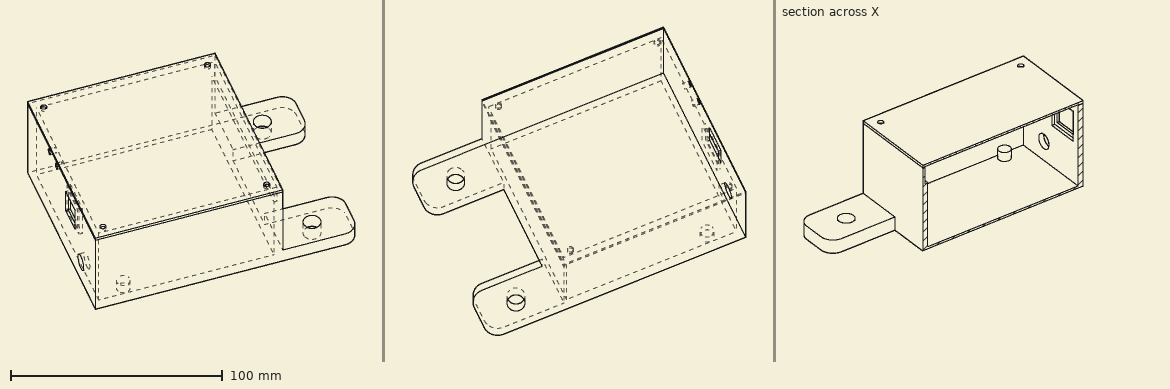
import cadquery as cq
BOX_WIDTH = 95.0
BOX_LENGTH = 94.0
TOTAL_HEIGHT = 48.5
LID_THICKNESS = 1.5
BOX_HEIGHT = TOTAL_HEIGHT - LID_THICKNESS
END_WALL = 3.0
SIDE_WALL = 4.0
FLOOR = 1.5

BACK_STEP_Z = 37.4
BACK_STEP_DEPTH = 1.5

POST_DIAMETER = 6.5
POST_HEIGHT = 5.0
POST_X = 87.5
POST_Y = 16.7

TOTAL_LENGTH = 132.2
EAR_LENGTH = TOTAL_LENGTH - BOX_LENGTH
EAR_WIDTH = 25.4
EAR_THICKNESS = 7.5
EAR_CORNER_RADIUS = 7.0
EAR_HOLE_DIAMETER = 8.5
EAR_HOLE_TO_END = 19.0

WINDOW_SIZE = 13.0
WINDOW_LEFT = 53.4
WINDOW_BOTTOM = 26.6
WINDOW_WALL = 1.3
WINDOW_RECESS_MARGIN = 2.0
JACK_HOLE_DIAMETER = 8.0
JACK_HOLE_X = 74.7
JACK_HOLE_Z = 12.2
LED_HOLE_DIAMETER = 2.9
LED_HOLE_XS = (30.4, 40.5)
LED_HOLE_Z = 44.0

SCREW_HOLE_DIAMETER = 2.9
SCREW_HOLE_INSET = 6.0


def make_block(width, length, height, corner):
    """Box with its lowest corner at the given point."""
    return cq.Workplane("XY").box(width, length, height, centered=False).translate(corner)


def make_ear(left_edge):
    ear = make_block(EAR_WIDTH, EAR_LENGTH, EAR_THICKNESS, (left_edge, BOX_LENGTH, 0))
    ear = ear.edges("|Z and >Y").fillet(EAR_CORNER_RADIUS)
    hole = (
        cq.Workplane("XY")
        .center(left_edge + EAR_WIDTH / 2, TOTAL_LENGTH - EAR_HOLE_TO_END)
        .circle(EAR_HOLE_DIAMETER / 2)
        .extrude(EAR_THICKNESS)
    )
    return ear.cut(hole)


def make_front_hole(diameter, x, z):
    """Cylinder along Y that spans the front wall."""
    return cq.Workplane("XZ").center(x, z).circle(diameter / 2).extrude(-END_WALL)


def make_cavity():
    """Inner space of the box, with the step in the upper part of the back wall."""
    width = BOX_WIDTH - 2 * SIDE_WALL
    length = BOX_LENGTH - 2 * END_WALL
    cavity = make_block(width, length, BOX_HEIGHT - FLOOR, (SIDE_WALL, END_WALL, FLOOR))
    step_height = BOX_HEIGHT - BACK_STEP_Z
    step_corner = (SIDE_WALL, END_WALL + length, BACK_STEP_Z)
    step = make_block(width, BACK_STEP_DEPTH, step_height, step_corner)
    return cavity.union(step)


def make_window():
    """Square opening with a wider recess on the inner side of the front wall."""
    opening = make_block(WINDOW_SIZE, END_WALL, WINDOW_SIZE, (WINDOW_LEFT, 0, WINDOW_BOTTOM))
    recess_size = WINDOW_SIZE + 2 * WINDOW_RECESS_MARGIN
    recess_left = WINDOW_LEFT - WINDOW_RECESS_MARGIN
    recess_bottom = WINDOW_BOTTOM - WINDOW_RECESS_MARGIN
    recess_depth = END_WALL - WINDOW_WALL
    recess = make_block(recess_size, recess_depth, recess_size, (recess_left, WINDOW_WALL, recess_bottom))
    return opening.union(recess)


def make_post():
    base = cq.Workplane("XY", origin=(POST_X, POST_Y, FLOOR))
    return base.circle(POST_DIAMETER / 2).extrude(POST_HEIGHT)


def make_housing():
    housing = make_block(BOX_WIDTH, BOX_LENGTH, BOX_HEIGHT, (0, 0, 0))
    for left_edge in (0, BOX_WIDTH - EAR_WIDTH):
        housing = housing.union(make_ear(left_edge))

    housing = housing.cut(make_cavity())
    housing = housing.union(make_post())
    housing = housing.cut(make_window())
    housing = housing.cut(make_front_hole(JACK_HOLE_DIAMETER, JACK_HOLE_X, JACK_HOLE_Z))
    for x in LED_HOLE_XS:
        housing = housing.cut(make_front_hole(LED_HOLE_DIAMETER, x, LED_HOLE_Z))
    return housing


def make_lid():
    lid = make_block(BOX_WIDTH, BOX_LENGTH, LID_THICKNESS, (0, 0, BOX_HEIGHT))
    spacing_x = BOX_WIDTH - 2 * SCREW_HOLE_INSET
    spacing_y = BOX_LENGTH - 2 * SCREW_HOLE_INSET
    screw_holes = (
        cq.Workplane("XY", origin=(BOX_WIDTH / 2, BOX_LENGTH / 2, BOX_HEIGHT))
        .rarray(spacing_x, spacing_y, 2, 2)
        .circle(SCREW_HOLE_DIAMETER / 2)
        .extrude(LID_THICKNESS)
    )
    return lid.cut(screw_holes)


housing = make_housing()
lid = make_lid()

result = cq.Compound.makeCompound([housing.val(), lid.val()])